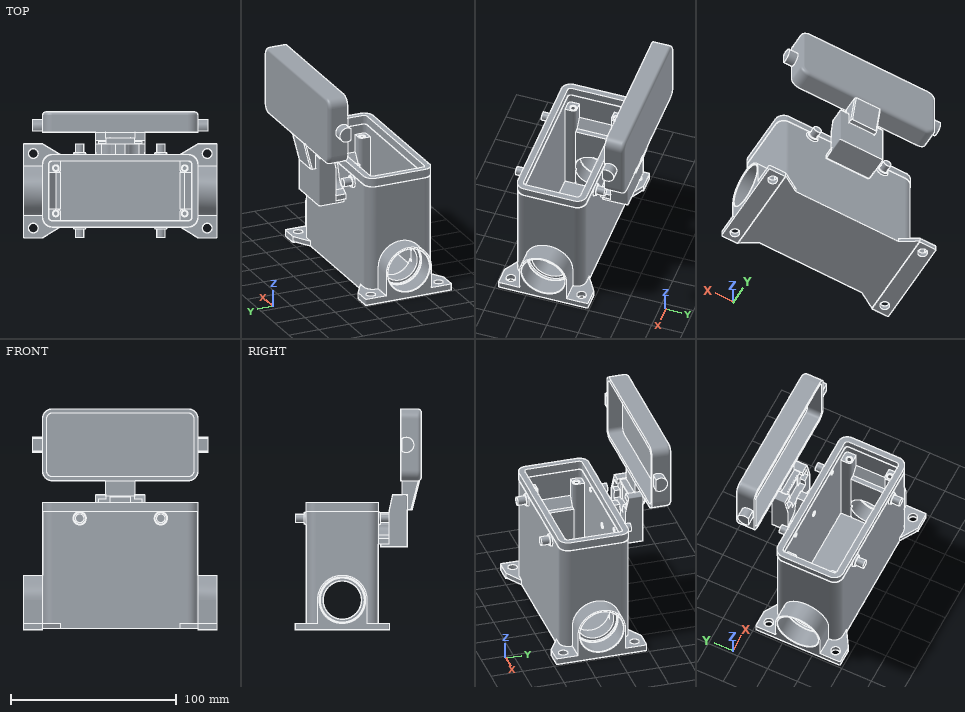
import cadquery as cq


lip_length, lip_width = 94.0, 44.0
lip_step = 0.2
wall_overlap = 1.0
corner_radius = 6.0
shell_bottom, lip_bottom, shell_top = 0.75, 71.4, 77.0
floor_top = 4.0
cavity_radius = 2.0
cavity_length, cavity_width = 86.6, 36.2
body_length, body_width = lip_length - 2 * lip_step, lip_width - 2 * lip_step

foot_length, foot_width = 117.0, 57.0
foot_top = 4.0
foot_inner_x = 47.0
foot_taper_x = 36.0
foot_corner = 0.7
foot_hole_dia = 5.7
foot_hole_pitch_x, foot_hole_pitch_y = 105.0, 45.0

port_radius, port_z = 15.0, 18.0
port_bore_radius, port_relief_radius, port_passage_radius = 13.8, 13.3, 11.5
port_bore_depth, port_relief_depth, port_mouth_chamfer = 11.5, 13.0, 0.3

pillar_inner_x, pillar_inner_y = 36.0, 11.1
pillar_top = 65.5
pillar_round = 2.0
screw_x, screw_y = 38.9, 13.7
screw_dia, screw_depth, screw_mouth = 3.0, 12.0, 0.5
slope_top, slope_bottom = 54.0, 48.3
slope_inner_x = screw_x

peg_x, peg_z = 24.5, 67.4
peg_radius, peg_tip_y = 2.6, 28.3
collar_radius, collar_base_radius, collar_y = 3.5, 4.0, 23.1
peg_dimple_dia, bracket_dimple_dia, bracket_dimple_z = 2.6, 3.6, 56.2
dimple_depth = 0.5

bracket_width = 30.0
bracket_front, bracket_back = 28.3, 39.3
bracket_bottom, bracket_top = 50.1, 81.7
bracket_slope_z, bracket_top_front = 72.5, 30.3
bracket_edge = 0.5
ledge_front, ledge_top = 23.2, 51.8
bridge_front, bridge_top = 32.0, 81.0
recess_width, recess_bottom, recess_top, recess_back = 26.4, 74.0, 79.0, 32.0
opening_width, opening_bottom = 17.4, 69.0
window_width, window_top, window_back = 12.6, 80.3, 32.8

pedestal_width = 29.6
pedestal_top, pedestal_top_half = 71.0, 2.75
flare_radius, flare_bottom_z, flare_outer_x = 6.0, 57.3, 11.2
flare_top_z = flare_bottom_z + flare_radius
flare_inner_x = flare_outer_x - flare_radius
pedestal_shoulder_z = 55.1

lid_length, lid_bottom, lid_top = 94.0, 90.0, 133.5
lid_front, lid_back = 35.25, 47.75
lid_edge_round = 2.2
lid_wall, lid_cavity_depth, lid_cavity_radius = 2.5, 9.2, 3.5
lid_z = (lid_bottom + lid_top) / 2

trunnion_span, trunnion_radius = 106.0, 4.6
trunnion_y, trunnion_flat_y = 38.6, 36.0

tongue_width, tongue_front = 18.0, 35.9
tongue_bottom, tongue_bottom_back = bracket_slope_z, 42.2
tongue_edge = 0.8


def block(x0, x1, y0, y1, z0, z1):
    """Box given by its limits along each axis."""
    solid = cq.Workplane("XY").box(x1 - x0, y1 - y0, z1 - z0, centered=False)
    return solid.translate((x0, y0, z0))


def rounded_block(length, width, radius, z0, z1):
    """Upright block centred on the Z axis with rounded vertical edges."""
    outline = cq.Workplane("XY").workplane(offset=z0).rect(length, width)
    return outline.extrude(z1 - z0).edges("|Z").fillet(radius)


def x_cylinder(radius, x0, x1, y, z):
    """Cylinder along X between two X limits."""
    return cq.Workplane("YZ", origin=(x0, 0, 0)).center(y, z).circle(radius).extrude(x1 - x0)


def make_shell():
    body = rounded_block(body_length, body_width, corner_radius, shell_bottom, lip_bottom)
    lip = rounded_block(lip_length, lip_width, corner_radius, lip_bottom, shell_top)
    return body.union(lip)


def make_cavity():
    lower = rounded_block(cavity_length - 2 * lip_step, cavity_width - 2 * lip_step,
                          cavity_radius, floor_top, lip_bottom)
    upper = rounded_block(cavity_length, cavity_width, cavity_radius, lip_bottom, shell_top)
    pad = make_port_pad()
    cavity = lower.union(upper).cut(pad).cut(pad.mirror("YZ"))
    for side_x in (-1, 1):
        for side_y in (-1, 1):
            cavity = cavity.cut(make_pillar(side_x, side_y))
    return cavity


def make_pillar(side_x, side_y):
    """Screw pillar in one cavity corner, with its free edge rounded."""
    pillar = block(pillar_inner_x, lip_length / 2, pillar_inner_y, lip_width / 2, floor_top, pillar_top)
    pillar = pillar.edges("|Z and <X and <Y").fillet(pillar_round)
    if side_x < 0:
        pillar = pillar.mirror("YZ")
    if side_y < 0:
        pillar = pillar.mirror("XZ")
    return pillar


def make_port_pad():
    """Thick end wall between two pillars, sloping back to the plain wall above the port."""
    wall_x = cavity_length / 2 - lip_step
    outline = [
        (lip_length / 2, floor_top),
        (pillar_inner_x, floor_top),
        (pillar_inner_x, slope_bottom),
        (slope_inner_x, slope_bottom),
        (wall_x, slope_top),
        (lip_length / 2, slope_top),
    ]
    return cq.Workplane("XZ").polyline(outline).close().extrude(pillar_inner_y, both=True)


def make_screw_holes():
    pillar_tops = cq.Workplane("XY").workplane(offset=pillar_top)
    pitch = pillar_tops.rect(2 * screw_x, 2 * screw_y, forConstruction=True)
    holes = pitch.vertices().circle(screw_dia / 2).extrude(-screw_depth)
    mouths = pitch.vertices().circle(screw_dia / 2 + screw_mouth).extrude(-screw_mouth, taper=45)
    return holes.union(mouths)


def make_foot():
    """Foot at the +X end: a full-depth pad and tapers that run into the long walls."""
    half_width = foot_width / 2
    pad = block(foot_inner_x, foot_length / 2, -half_width, half_width, 0, foot_top)
    pad = pad.edges("|Z and >X").fillet(foot_corner)
    wall_y = body_width / 2
    taper_outline = [
        (foot_taper_x, -wall_y),
        (foot_inner_x, -half_width),
        (foot_inner_x, half_width),
        (foot_taper_x, wall_y),
    ]
    taper = cq.Workplane("XY").workplane(offset=shell_bottom).polyline(taper_outline).close()
    return pad.union(taper.extrude(foot_top - shell_bottom))


def make_foot_holes():
    pitch = cq.Workplane("XY").rect(foot_hole_pitch_x, foot_hole_pitch_y, forConstruction=True)
    return pitch.vertices().circle(foot_hole_dia / 2).extrude(foot_top)


def make_port_boss():
    """Boss at the +X end, round on top and straight down to the foot."""
    outer_x = foot_length / 2
    inner_x = cavity_length / 2
    barrel = x_cylinder(port_radius, inner_x, outer_x, 0, port_z)
    return barrel.union(block(inner_x, outer_x, -port_radius, port_radius, shell_bottom, port_z))


def make_port_bore():
    """Stepped opening at the +X end: bore, relief and passage into the cavity."""
    outer_x = foot_length / 2
    bore = x_cylinder(port_bore_radius, outer_x - port_bore_depth, outer_x, 0, port_z)
    relief = x_cylinder(port_relief_radius, outer_x - port_relief_depth, outer_x, 0, port_z)
    passage = x_cylinder(port_passage_radius, 0, outer_x, 0, port_z)
    mouth = cq.Workplane("YZ", origin=(outer_x, 0, 0)).center(0, port_z)
    mouth = mouth.circle(port_bore_radius + port_mouth_chamfer).extrude(-port_mouth_chamfer, taper=45)
    return bore.union(relief).union(passage).union(mouth)


def make_peg(x, side_y):
    """Round peg with a conical collar, standing on the front (-1) or rear (+1) wall."""
    wall_y = body_width / 2
    root_y = wall_y - wall_overlap
    profile = [
        (0, root_y),
        (collar_base_radius, root_y),
        (collar_base_radius, wall_y),
        (collar_radius, collar_y),
        (peg_radius, collar_y),
        (peg_radius, peg_tip_y),
        (0, peg_tip_y),
    ]
    peg = cq.Workplane("XY").polyline(profile).close().revolve(360, (0, 0, 0), (0, 1, 0))
    if side_y < 0:
        peg = peg.mirror("XZ")
    return peg.translate((x, 0, peg_z))


def make_dimple(x, z, diameter):
    """Shallow round recess in the inner face of the rear wall."""
    inner_y = cavity_width / 2 - lip_step
    start = cq.Workplane("XZ", origin=(x, inner_y + dimple_depth, z))
    return start.circle(diameter / 2).extrude(2 * dimple_depth)


def make_bracket_block():
    outline = [
        (bracket_back, bracket_bottom),
        (ledge_front, bracket_bottom),
        (ledge_front, ledge_top),
        (bracket_front, ledge_top),
        (bracket_front, bracket_slope_z),
        (bracket_top_front, bracket_top),
        (bracket_back, bracket_top),
    ]
    bracket = cq.Workplane("YZ").polyline(outline).close().extrude(bracket_width / 2, both=True)
    return bracket.edges("(>Y and |Z) or (|Y and >Z) or (|Y and <Z)").fillet(bracket_edge)


def make_bracket():
    """Hinge bracket with a rear slot for the tongue and a stepped recess in its front."""
    half_tongue = tongue_width / 2
    tongue_slot = block(-half_tongue, half_tongue, tongue_front, bracket_back, tongue_bottom, bracket_top)
    opening = block(-opening_width / 2, opening_width / 2, bracket_front, bridge_front,
                    opening_bottom, bracket_top)
    bridge_gap = block(-half_tongue, half_tongue, bridge_front, tongue_front, bridge_top, bracket_top)
    recess = block(-recess_width / 2, recess_width / 2, bracket_front, recess_back, recess_bottom, recess_top)
    window = block(-window_width / 2, window_width / 2, bracket_front, window_back,
                   opening_bottom, window_top)
    bracket = make_bracket_block().cut(tongue_slot).cut(bridge_gap).cut(opening)
    return bracket.cut(recess).cut(window)


def make_pedestal():
    """Pedestal with a tapered neck that flares in concave arcs to a wide base."""
    half_base = pedestal_width / 2
    outline = (
        cq.Workplane("XZ", origin=(0, bracket_front, 0))
        .moveTo(-half_base, ledge_top)
        .lineTo(-half_base, pedestal_shoulder_z)
        .lineTo(-flare_outer_x, flare_bottom_z)
        .radiusArc((-flare_inner_x, flare_top_z), -flare_radius)
        .lineTo(-pedestal_top_half, pedestal_top)
        .lineTo(pedestal_top_half, pedestal_top)
        .lineTo(flare_inner_x, flare_top_z)
        .radiusArc((flare_outer_x, flare_bottom_z), -flare_radius)
        .lineTo(half_base, pedestal_shoulder_z)
        .lineTo(half_base, ledge_top)
        .close()
    )
    return outline.extrude(bracket_front - body_width / 2 + wall_overlap)


def make_housing():
    housing = make_shell()
    for feature in (make_foot(), make_port_boss()):
        housing = housing.union(feature).union(feature.mirror("YZ"))
    housing = housing.cut(make_cavity())
    housing = housing.cut(make_foot_holes()).cut(make_screw_holes())
    bore = make_port_bore()
    housing = housing.cut(bore).cut(bore.mirror("YZ"))
    for x in (-peg_x, peg_x):
        housing = housing.union(make_peg(x, -1)).union(make_peg(x, 1))
        housing = housing.cut(make_dimple(x, peg_z, peg_dimple_dia))
    housing = housing.cut(make_dimple(0, bracket_dimple_z, bracket_dimple_dia))
    return housing.union(make_pedestal()).union(make_bracket())


def make_lid_cap():
    """Shallow open box facing the front, rounded along its rear edge."""
    height = lid_top - lid_bottom
    depth = lid_back - lid_front
    front = cq.Workplane("XZ", origin=(0, lid_front, lid_z))
    cap = front.rect(lid_length, height).extrude(-depth)
    cap = cap.edges("|Y").fillet(corner_radius).faces(">Y").edges().fillet(lid_edge_round)
    cavity = front.rect(lid_length - 2 * lid_wall, height - 2 * lid_wall).extrude(-lid_cavity_depth)
    return cap.cut(cavity.edges("|Y").fillet(lid_cavity_radius))


def make_trunnion():
    """Round stub at the +X end of the lid with a flat toward the front."""
    inner_x, outer_x = lid_length / 2 - lid_wall, trunnion_span / 2
    stub = x_cylinder(trunnion_radius, inner_x, outer_x, trunnion_y, lid_z)
    flat = block(inner_x, outer_x, lid_front - trunnion_radius, trunnion_flat_y,
                 lid_bottom, lid_top)
    return stub.cut(flat)


def make_tongue():
    """Tapered strap that hangs from the lid into the bracket slot."""
    root_z = lid_bottom + lid_wall
    root_back = lid_back - lid_edge_round / 2
    outline = [
        (tongue_front, tongue_bottom),
        (tongue_bottom_back, tongue_bottom),
        (root_back, lid_bottom),
        (root_back, root_z),
        (tongue_front, root_z),
    ]
    tongue = cq.Workplane("YZ").polyline(outline).close().extrude(tongue_width / 2, both=True)
    middle_y = (tongue_bottom_back + root_back) / 2
    middle_z = (tongue_bottom + lid_bottom) / 2
    sloped_back = cq.selectors.NearestToPointSelector((0, middle_y, middle_z))
    return tongue.faces(sloped_back).edges("not |X").chamfer(tongue_edge)


def make_lid():
    cap = make_lid_cap()
    tongue = make_tongue()
    trunnion = make_trunnion()
    return cap.union(tongue).union(trunnion).union(trunnion.mirror("YZ"))


housing = make_housing()
lid = make_lid()
result = cq.Compound.makeCompound([*housing.solids().vals(), *lid.solids().vals()])